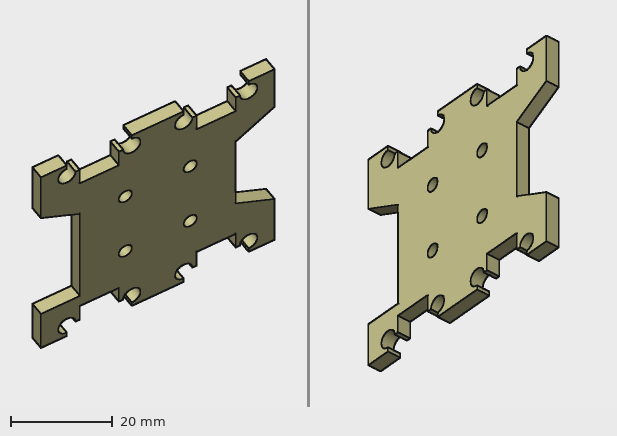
import cadquery as cq

thickness = 3.2
length = 54.0
height = 50.0
half_length = length / 2
half_height = height / 2
back_face = (-thickness / 2, 0, 0)

notch_offset = length / 4
mouth_width = 15.0
mouth_depth = 3.0
throat_width = 9.0
throat_depth = 7.0
relief_diameter = 4.0

waist_half_length = 18.0
waist_corner = 9.0
shoulder_outer = 13.0
steep_shoulder_outer = 14.0
square_shoulder = 15.0

hole_diameter = 3.0
hole_spacing_y = 15.0
hole_spacing_z = 16.0


def plate_blank():
    """Plate with a recess in each side; one lower shoulder is square."""
    outline = [
        (-half_length, -half_height),
        (half_length, -half_height),
        (half_length, -shoulder_outer),
        (waist_half_length, -waist_corner),
        (waist_half_length, waist_corner),
        (half_length, steep_shoulder_outer),
        (half_length, half_height),
        (-half_length, half_height),
        (-half_length, shoulder_outer),
        (-waist_half_length, waist_corner),
        (-waist_half_length, -square_shoulder),
        (-half_length, -square_shoulder),
    ]
    return cq.Workplane("YZ", origin=back_face).polyline(outline).close().extrude(thickness)


def edge_pocket(y, side, width, depth):
    """Rectangular cutter reaching depth inward from the top (1) or bottom (-1) edge."""
    return cq.Workplane("XY").box(thickness, width, 2 * depth).translate((0, y, side * half_height))


def notch(y, side):
    """Wide mouth, narrower throat and a round relief at each end of the mouth."""
    reliefs = (
        cq.Workplane("YZ", origin=back_face)
        .center(y, side * (half_height - mouth_depth))
        .pushPoints([(-mouth_width / 2, 0), (mouth_width / 2, 0)])
        .circle(relief_diameter / 2)
        .extrude(thickness)
    )
    mouth = edge_pocket(y, side, mouth_width, mouth_depth)
    throat = edge_pocket(y, side, throat_width, throat_depth)
    return mouth.union(throat).union(reliefs)


def mounting_holes():
    """Four through holes in a rectangular pattern."""
    return (
        cq.Workplane("YZ", origin=back_face)
        .rarray(hole_spacing_y, hole_spacing_z, 2, 2)
        .circle(hole_diameter / 2)
        .extrude(thickness)
    )


result = plate_blank().cut(mounting_holes())
for edge_side in (-1, 1):
    for notch_y in (-notch_offset, notch_offset):
        result = result.cut(notch(notch_y, edge_side))